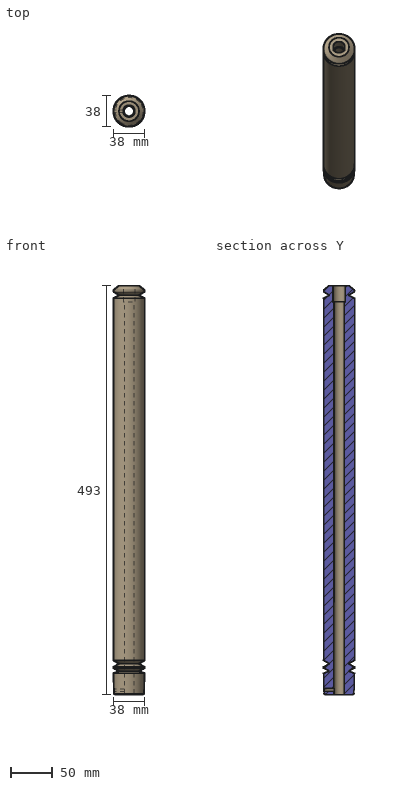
import cadquery as cq

total_length = 493.0
body_radius = 38.0 / 2
neck_radius = 24.0 / 2
bore_radius = 12.0 / 2
counterbore_radius = 14.5 / 2
counterbore_depth = 19.5

cup_base_radius = 36.5 / 2
cup_edge_chamfer = 1.5
cup_rim_z = 26.0
cup_neck_z = 28.5

lower_collar_bottom_z = 32.0
lower_collar_top_z = 33.5
lower_neck_z = 37.5

body_bottom_z = 41.5
body_top_z = 478.0

upper_neck_z = 481.5
head_rim_bottom_z = 485.2
head_rim_top_z = 488.0
head_rim_bulge = 0.75

side_hole_diameter = 3.0
side_hole_z = 6.0


def turned_blank():
    """Revolve the outer half profile, listed from the base upwards."""
    lower_profile = [
        (0, 0),
        (cup_base_radius - cup_edge_chamfer, 0),
        (cup_base_radius, cup_edge_chamfer),
        (body_radius, cup_rim_z),
        (neck_radius, cup_neck_z),
        (body_radius, lower_collar_bottom_z),
        (body_radius, lower_collar_top_z),
        (neck_radius, lower_neck_z),
        (body_radius, body_bottom_z),
        (body_radius, body_top_z),
        (neck_radius, upper_neck_z),
        (body_radius - head_rim_bulge, head_rim_bottom_z),
    ]
    head_rim_middle = (body_radius, (head_rim_bottom_z + head_rim_top_z) / 2)
    head_rim_top = (body_radius - head_rim_bulge, head_rim_top_z)
    return (
        cq.Workplane("XZ")
        .polyline(lower_profile)
        .threePointArc(head_rim_middle, head_rim_top)
        .lineTo(neck_radius, total_length)
        .lineTo(0, total_length)
        .close()
        .revolve(360, (0, 0), (0, 1))
    )


def through_bore():
    """Straight bore along the whole length, counterbored from the top."""
    bore = cq.Workplane("XY").circle(bore_radius).extrude(total_length)
    counterbore = (
        cq.Workplane("XY", origin=(0, 0, total_length))
        .circle(counterbore_radius)
        .extrude(-counterbore_depth)
    )
    return bore.union(counterbore)


def side_hole():
    """Small hole running from the -X side of the cup into the bore."""
    return (
        cq.Workplane("YZ", origin=(-body_radius, 0, side_hole_z))
        .circle(side_hole_diameter / 2)
        .extrude(body_radius)
    )


result = turned_blank().cut(through_bore()).cut(side_hole())